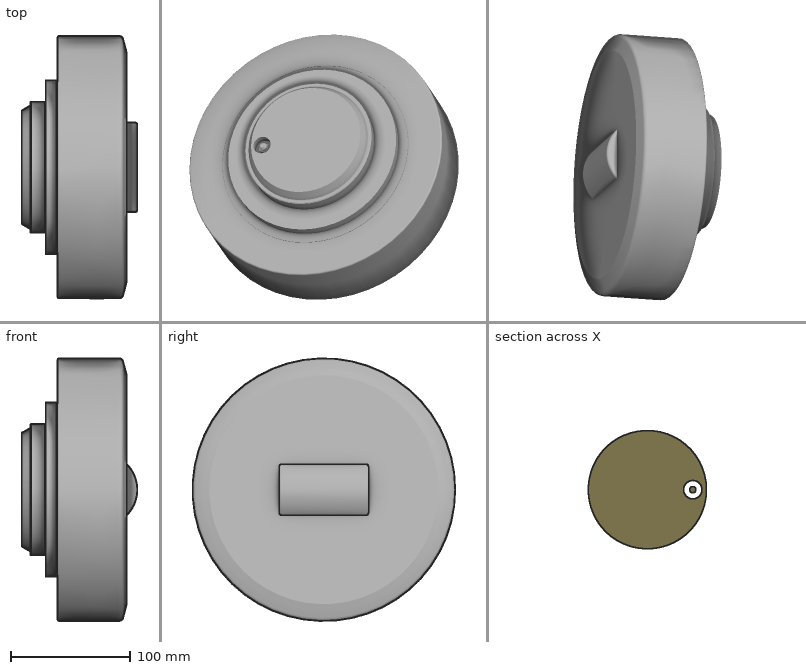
import cadquery as cq
import math

hub_start = 7.3
flange_start = 20.0
flange_edge_start = 28.8
tyre_start = 30.0
tyre_end = 88.0
side_roller_tip = 96.86

hub_radius = 110.0 / 2
hub_chamfer = 0.7
flange_radius = 146.0 / 2
flange_chamfer = tyre_start - flange_edge_start
nose_base_radius = 51.7
nose_taper = math.radians(30)
nose_tip_radius = nose_base_radius - hub_start * math.tan(nose_taper)

tyre_radius = 220.0 / 2
tyre_crown = 0.05
tyre_edge_radius = tyre_radius - tyre_crown
tyre_front_fillet = 1.5
tyre_shoulder_fillet = 3.5
tyre_face_radius = 95.8
cone_angle = math.radians(15)

groove_inner_radius = 161.0 / 2
groove_outer_radius = 162.0 / 2
groove_depth = 0.5

side_roller_radius = 30.0
side_roller_width = 75.0
side_roller_fillet = 2.0

recess_offset = 38.0
recess_radius = 15.0 / 2
recess_depth = 8.0
nipple_hex_sides = 6
nipple_across_flats = 8.0
nipple_base_start = 5.5
nipple_tip_start = 0.7
nipple_tip_radius = 1.85
nipple_head_start = 2.5
nipple_head_end = 3.2
nipple_head_radius = 6.5 / 2
nipple_neck_start = 4.2
nipple_neck_radius = 2.5


def disc(radius, start, end):
    """Solid cylinder about the X axis between two axial stations."""
    return cq.Workplane("YZ", origin=(start, 0, 0)).circle(radius).extrude(end - start)


def revolve_about_x(outline):
    """Solid of revolution about X from straight-sided (axial, radial) points."""
    return cq.Workplane("XY").polyline(outline).close().revolve(360, (0, 0, 0), (1, 0, 0))


def make_hub():
    outline = [
        (0, 0),
        (0, nose_tip_radius),
        (hub_start, nose_base_radius),
        (hub_start, hub_radius - hub_chamfer),
        (hub_start + hub_chamfer, hub_radius),
        (flange_start - hub_chamfer, hub_radius),
        (flange_start, hub_radius - hub_chamfer),
        (flange_start, flange_radius),
        (flange_edge_start, flange_radius),
        (tyre_start, flange_radius - flange_chamfer),
        (tyre_start, 0),
    ]
    return revolve_about_x(outline)


def arc_point(center, radius, angle):
    """Point on an arc in the profile plane, the angle measured from +X."""
    return (center[0] + radius * math.cos(angle), center[1] + radius * math.sin(angle))


def make_tyre():
    front = (tyre_start + tyre_front_fillet, tyre_edge_radius - tyre_front_fillet)
    shoulder_drop = tyre_edge_radius - tyre_shoulder_fillet - tyre_face_radius
    shoulder = (
        tyre_end - shoulder_drop * math.tan(cone_angle) - tyre_shoulder_fillet / math.cos(cone_angle),
        tyre_edge_radius - tyre_shoulder_fillet,
    )
    upright = math.pi / 2
    tyre = (
        cq.Workplane("XY")
        .moveTo(tyre_start, 0)
        .lineTo(tyre_start, front[1])
        .threePointArc(
            arc_point(front, tyre_front_fillet, 1.5 * upright),
            (front[0], tyre_edge_radius),
        )
        .threePointArc(
            ((front[0] + shoulder[0]) / 2, tyre_radius),
            (shoulder[0], tyre_edge_radius),
        )
        .threePointArc(
            arc_point(shoulder, tyre_shoulder_fillet, (upright + cone_angle) / 2),
            arc_point(shoulder, tyre_shoulder_fillet, cone_angle),
        )
        .lineTo(tyre_end, tyre_face_radius)
        .lineTo(tyre_end, 0)
        .close()
        .revolve(360, (0, 0, 0), (1, 0, 0))
    )
    groove = disc(groove_outer_radius, tyre_start, tyre_start + groove_depth)
    groove = groove.cut(disc(groove_inner_radius, tyre_start, tyre_start + groove_depth))
    return tyre.cut(groove)


def make_side_roller():
    roller = (
        cq.Workplane("XZ", origin=(side_roller_tip - side_roller_radius, 0, 0))
        .circle(side_roller_radius)
        .extrude(side_roller_width / 2, both=True)
    )
    return roller.edges("%CIRCLE").fillet(side_roller_fillet)


def make_recess():
    return disc(recess_radius, 0, recess_depth).translate((0, recess_offset, 0))


def make_nipple():
    base = (
        cq.Workplane("YZ", origin=(nipple_base_start, 0, 0))
        .polygon(nipple_hex_sides, nipple_across_flats, circumscribed=True)
        .extrude(recess_depth - nipple_base_start)
    )
    outline = [
        (nipple_tip_start, 0),
        (nipple_tip_start, nipple_tip_radius),
        (nipple_head_start, nipple_head_radius),
        (nipple_head_end, nipple_head_radius),
        (nipple_neck_start, nipple_neck_radius),
        (nipple_base_start, nipple_neck_radius),
        (nipple_base_start, 0),
    ]
    head = revolve_about_x(outline)
    return base.union(head).translate((0, recess_offset, 0))


result = make_hub().union(make_tyre()).union(make_side_roller())
result = result.cut(make_recess()).union(make_nipple())